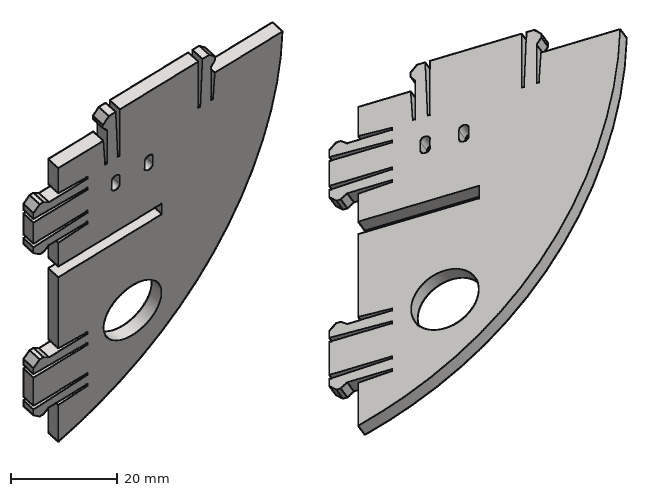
import cadquery as cq

thickness = 3.0
overall_width = 60.45
overall_height = 83.5
tab_reach = 6.0
plate_width = overall_width - tab_reach
plate_height = overall_height - tab_reach
upper_control = (-53.8, -28.8)
lower_control = (-38.8, -65.4)

clip_depth = 7.1
slit_root = 0.5
slit_mouth = 1.0
arm_root_width = 2.6
relief_root = 0.5
relief_mouth = 0.9
hook_overhang = 1.0
hook_start = tab_reach - 3.75
hook_peak_start = tab_reach - 2.4
hook_peak_end = tab_reach - 1.5
hook_nose = 1.4

top_tab_width = 19.0
top_tab_u = -24.5
side_tabs = [(-14.1, 6.0), (-59.0, 8.0)]

slot_length = 25.1
slot_width = 3.0
slot_v = -29.4
hole_diameter = 14.0
hole_centre = (-18.0, -53.0)
oval_width = 2.0
oval_height = 4.0
oval_us = [-21.95, -13.95]
oval_v = -14.0

sketch_plane = cq.Plane(origin=(0, 0, 0), xDir=(0, -1, 0), normal=(-1, 0, 0))


def extrude_outline(points):
    return cq.Workplane(sketch_plane).polyline(points).close().extrude(thickness)


def plate_blank():
    return (
        cq.Workplane(sketch_plane)
        .lineTo(-plate_width, 0)
        .bezier([upper_control, lower_control, (0, -plate_height)], includeCurrent=True)
        .close()
        .extrude(thickness)
    )


def add_clip(plate, tab_width, place):
    """Cut a clip into an edge; place maps (along edge, outward) to (u, v)."""
    half_tab = tab_width / 2
    arm_inner = half_tab + slit_root
    arm_outer = arm_inner + arm_root_width
    hook_peak = arm_outer + hook_overhang
    tab = [
        (-half_tab, -clip_depth),
        (half_tab, -clip_depth),
        (half_tab, tab_reach),
        (-half_tab, tab_reach),
    ]
    clearance = [
        (half_tab, -clip_depth),
        (arm_outer + relief_root, -clip_depth),
        (arm_outer + relief_mouth, 0),
        (half_tab, 0),
    ]
    arm = [
        (arm_inner, -clip_depth),
        (arm_outer, -clip_depth),
        (arm_outer, hook_start),
        (hook_peak, hook_peak_start),
        (hook_peak, hook_peak_end),
        (hook_peak - hook_nose, tab_reach),
        (half_tab + slit_mouth, tab_reach),
    ]
    for side in (-1, 1):
        plate = plate.cut(extrude_outline([place(side * a, b) for a, b in clearance]))
        plate = plate.union(extrude_outline([place(side * a, b) for a, b in arm]))
    return plate.union(extrude_outline([place(a, b) for a, b in tab]))


def cut_openings(plate):
    slot = (
        cq.Workplane(sketch_plane)
        .center(-slot_length / 2, slot_v)
        .rect(slot_length, slot_width)
        .extrude(thickness)
    )
    hole = cq.Workplane(sketch_plane).center(*hole_centre).circle(hole_diameter / 2).extrude(thickness)
    ovals = (
        cq.Workplane(sketch_plane)
        .pushPoints([(u, oval_v) for u in oval_us])
        .slot2D(oval_height, oval_width, 90)
        .extrude(thickness)
    )
    return plate.cut(slot).cut(hole).cut(ovals)


result = plate_blank()
result = add_clip(result, top_tab_width, lambda along, out: (top_tab_u + along, out))
for tab_v, tab_width in side_tabs:
    result = add_clip(result, tab_width, lambda along, out: (out, tab_v + along))
result = cut_openings(result)